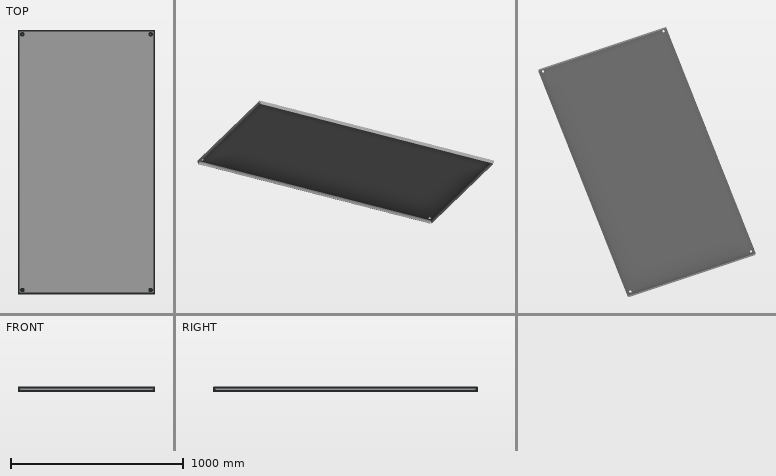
import cadquery as cq

width = 788.0
length = 1524.0
height = 23.0
sheet_thickness = 1.8
corner_radius = 5.0
top_edge_radius = 2.7

relief_size = corner_radius
relief_height = 8.0

hole_diameter = 14.3
hole_spacing_x = 744.0
hole_spacing_y = 1481.0


def corner_points(spacing_x, spacing_y):
    """Workplane at Z = 0 holding the four corners of a centred rectangle."""
    return cq.Workplane("XY").rect(spacing_x, spacing_y, forConstruction=True).vertices()


def make_pan():
    """Rounded box hollowed from below, leaving a top sheet and a skirt."""
    outside = cq.Workplane("XY").box(width, length, height, centered=(True, True, False))
    outside = outside.edges("|Z").fillet(corner_radius)
    outside = outside.faces(">Z").edges().fillet(top_edge_radius)
    cavity = cq.Workplane("XY").box(
        width - 2 * sheet_thickness,
        length - 2 * sheet_thickness,
        height - sheet_thickness,
        centered=(True, True, False),
    )
    return outside.cut(cavity)


corner_reliefs = corner_points(width, length).rect(2 * relief_size, 2 * relief_size).extrude(relief_height)
holes = corner_points(hole_spacing_x, hole_spacing_y).circle(hole_diameter / 2).extrude(height)

result = make_pan().cut(corner_reliefs).cut(holes)